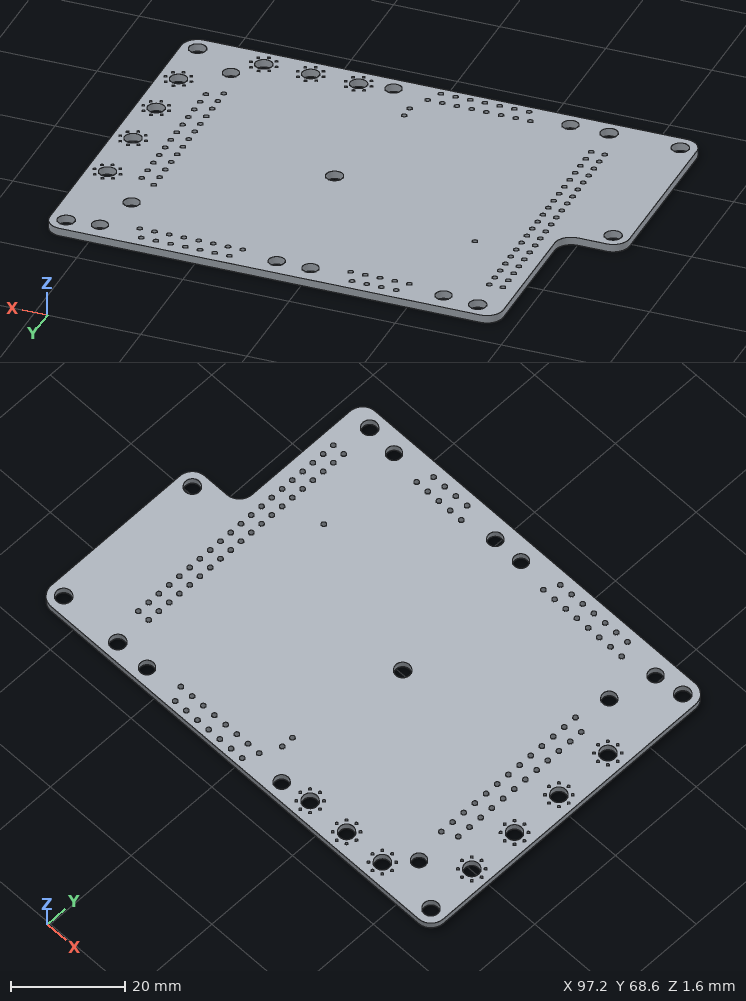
import cadquery as cq
import math

length = 97.2
width = 68.6
thickness = 1.6
corner_radius = 3.1
notch_length = 11.7
notch_bottom = 38.1

mount_diameter = 3.2
jack_screw_diameter = 3.0
pin_diameter = 1.0
via_diameter = 0.5

edge_offset = corner_radius
inner_mount_x = 16.5
center_hole_x = 55.9

header_rows = 20
header_x = 15.8
header_span = 48.3
header_pitch = header_span / (header_rows - 1)

single_pin = (24.9, 45.8)
pin_pair_center = (52.1, 9.5)

dsub_row_spacing = 2.8
dsub_9_long_count = 5
dsub_15_long_count = 8
dsub_25_long_count = 13
dsub_25_span = 33.2
dsub_pitch = dsub_25_span / (dsub_25_long_count - 1)
dsub_9_screw_spacing = 25.1
dsub_15_screw_spacing = 33.3
dsub_25_screw_spacing = 47.1
dsub_9_center = (35.8, 64.8)
dsub_15_top_center = (71.3, 64.8)
dsub_15_bottom_center = (40.5, 3.0)
dsub_25_center = (85.6, 32.2)

via_count = 8
via_circle_diameter = 4.9
right_ground_x = 93.4
right_ground_ys = (13.9, 24.5, 35.5, 47.6)
bottom_ground_y = 3.8
bottom_ground_xs = (63.4, 72.5, 81.3)


def drill(board, centers, diameter):
    """Cut through holes of one diameter at the given centers."""
    cutters = (
        cq.Workplane("XY")
        .pushPoints(centers)
        .circle(diameter / 2)
        .extrude(thickness)
    )
    return board.cut(cutters)


def pin_row(count, pitch, y):
    """Points of a row along X, centered on x = 0."""
    return [((i - (count - 1) / 2) * pitch, y) for i in range(count)]


def place(points, center, angle=0):
    """Turn points about the origin by an angle in degrees, then move them to a center."""
    c = math.cos(math.radians(angle))
    s = math.sin(math.radians(angle))
    return [(center[0] + x * c - y * s, center[1] + x * s + y * c) for x, y in points]


def drill_dsub(board, center, long_count, screw_spacing, angle):
    """Drill a D-sub footprint; its longer pin row lies on the local +Y side."""
    pins = pin_row(long_count, dsub_pitch, dsub_row_spacing / 2)
    pins += pin_row(long_count - 1, dsub_pitch, -dsub_row_spacing / 2)
    screws = pin_row(2, screw_spacing, 0)
    board = drill(board, place(pins, center, angle), pin_diameter)
    return drill(board, place(screws, center, angle), jack_screw_diameter)


def drill_ground_hole(board, center):
    """Drill a mounting hole and its ring of vias."""
    board = drill(board, [center], mount_diameter)
    vias = (
        cq.Workplane("XY")
        .center(*center)
        .polarArray(via_circle_diameter / 2, 0, 360, via_count)
        .circle(via_diameter / 2)
        .extrude(thickness)
    )
    return board.cut(vias)


outline = [
    (0, 0),
    (length, 0),
    (length, width),
    (notch_length, width),
    (notch_length, notch_bottom),
    (0, notch_bottom),
]
result = cq.Workplane("XY").polyline(outline).close().extrude(thickness)
result = result.edges("|Z").fillet(corner_radius)

mount_centers = [
    (edge_offset, edge_offset),
    (edge_offset, notch_bottom - edge_offset),
    (inner_mount_x, edge_offset),
    (inner_mount_x, width - edge_offset),
    (length - edge_offset, edge_offset),
    (length - edge_offset, width - edge_offset),
    (center_hole_x, width / 2),
]
result = drill(result, mount_centers, mount_diameter)

header_pins = []
for column_offset in (-header_pitch / 2, header_pitch / 2):
    header_pins += pin_row(header_rows, header_pitch, column_offset)
result = drill(result, place(header_pins, (header_x, width / 2), 90), pin_diameter)

loose_pins = [single_pin] + place(pin_row(2, header_pitch, 0), pin_pair_center, 90)
result = drill(result, loose_pins, pin_diameter)

result = drill_dsub(result, dsub_9_center, dsub_9_long_count, dsub_9_screw_spacing, 180)
result = drill_dsub(result, dsub_15_top_center, dsub_15_long_count, dsub_15_screw_spacing, 180)
result = drill_dsub(result, dsub_15_bottom_center, dsub_15_long_count, dsub_15_screw_spacing, 0)
result = drill_dsub(result, dsub_25_center, dsub_25_long_count, dsub_25_screw_spacing, 90)

for ground_y in right_ground_ys:
    result = drill_ground_hole(result, (right_ground_x, ground_y))
for ground_x in bottom_ground_xs:
    result = drill_ground_hole(result, (ground_x, bottom_ground_y))